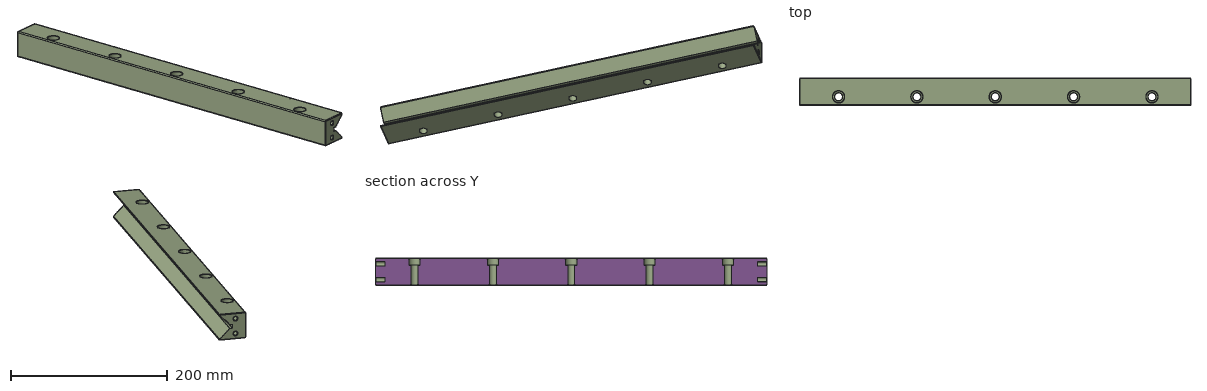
import cadquery as cq

LENGTH = 500.0
WIDTH = 35.0
HEIGHT = 35.0
BACK_CHAMFER = 1.5
END_CHAMFER = 1.0

LIP_THICKNESS = 1.5
RELIEF_WIDTH = 5.0
RELIEF_BOTTOM_DEPTH = 17.0

MOUNT_COUNT = 5
MOUNT_PITCH = 100.0
MOUNT_FROM_BACK = 11.0
MOUNT_DIAMETER = 10.0
COUNTERBORE_DIAMETER = 15.0
COUNTERBORE_DEPTH = 9.0
COUNTERBORE_CHAMFER = 0.4

END_HOLE_DIAMETER = 5.0
END_HOLE_DEPTH = 12.0
COUNTERSINK_DIAMETER = 6.5
COUNTERSINK_ANGLE = 90.0
END_HOLE_FROM_BACK = 14.0
END_HOLE_SPACING = 20.0

HALF_LENGTH = LENGTH / 2
BACK_Y = -WIDTH / 2
FRONT_Y = WIDTH / 2
HALF_HEIGHT = HEIGHT / 2


def back_chamfered_bar():
    """Square-ended bar with its two long back edges chamfered."""
    bar = cq.Workplane("XY").box(LENGTH, WIDTH, HEIGHT)
    return bar.edges("|X and <Y").chamfer(BACK_CHAMFER)


def rail_body():
    """Solid bar with chamfered back edges and ends."""
    bar = cq.Workplane("XY").box(LENGTH, WIDTH, HEIGHT)
    bar = bar.faces("<X or >X").chamfer(END_CHAMFER)
    return bar.intersect(back_chamfered_bar())


def raceway_cutter():
    """V groove and root relief, extruded over the whole length."""
    mouth_half = HALF_HEIGHT - LIP_THICKNESS
    relief_half = RELIEF_WIDTH / 2
    relief_mouth_y = FRONT_Y - (mouth_half - relief_half)
    relief_bottom_y = FRONT_Y - RELIEF_BOTTOM_DEPTH
    outline = [
        (FRONT_Y, mouth_half),
        (relief_mouth_y, relief_half),
        (relief_bottom_y, relief_half),
        (relief_bottom_y, -relief_half),
        (relief_mouth_y, -relief_half),
        (FRONT_Y, -mouth_half),
    ]
    return cq.Workplane("YZ").polyline(outline).close().extrude(HALF_LENGTH, both=True)


def drill_mounting_holes(rail):
    """Row of through holes whose counterbores open, with a broken edge, in the top face."""
    hole_row = (
        rail.faces(">Z")
        .workplane(origin=(0, BACK_Y + MOUNT_FROM_BACK, 0))
        .rarray(MOUNT_PITCH, 1, MOUNT_COUNT, 1)
    )
    drilled = hole_row.cboreHole(MOUNT_DIAMETER, COUNTERBORE_DIAMETER, COUNTERBORE_DEPTH)
    return drilled.faces(">Z").edges("%CIRCLE").chamfer(COUNTERBORE_CHAMFER)


def drill_end_holes(rail):
    """Two countersunk blind holes, one above the other, in each end face."""
    for end in ("<X", ">X"):
        rail = (
            rail.faces(end)
            .workplane(origin=(0, BACK_Y + END_HOLE_FROM_BACK, 0))
            .rarray(1, END_HOLE_SPACING, 1, 2)
            .cskHole(END_HOLE_DIAMETER, COUNTERSINK_DIAMETER, COUNTERSINK_ANGLE, END_HOLE_DEPTH)
        )
    return rail


rail = rail_body().cut(raceway_cutter())
rail = drill_mounting_holes(rail)
result = drill_end_holes(rail)